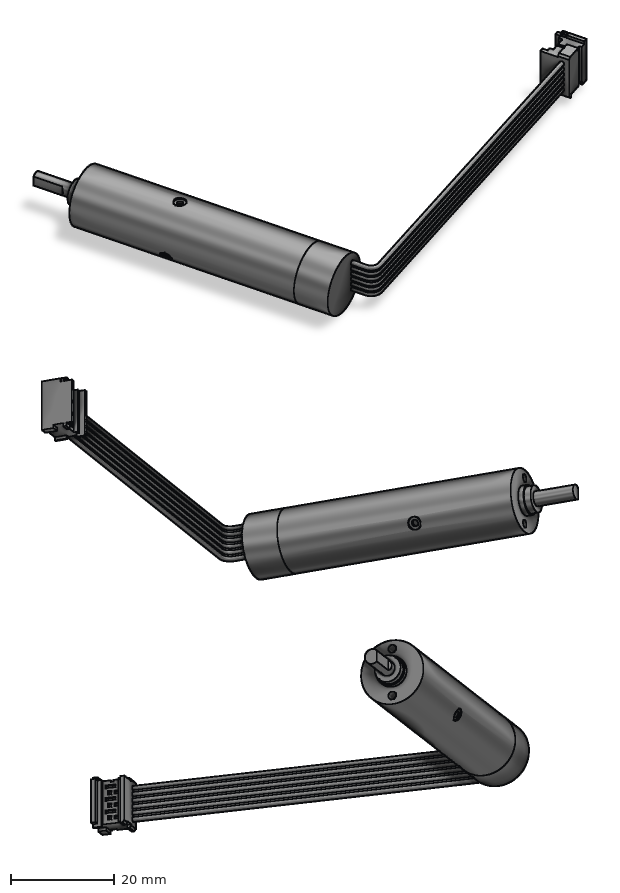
import cadquery as cq
import math


FRONT_RADIUS = 6.49
REAR_RADIUS = 6.505
REAR_START = 49.9
BODY_LENGTH = 57.4
COLLAR_RADIUS = 3.0
COLLAR_LENGTH = 1.1
BEARING_RADIUS = 2.7
BEARING_END = -2.5
SHAFT_RADIUS = 1.5
SHAFT_TIP = -11.0
FLAT_LENGTH = 6.35
FLAT_OFFSET = 1.0
FLAT_RUNOUT = 0.5

MOUNT_HOLE_DIAMETER = 1.6
MOUNT_HOLE_OFFSET = 4.75
MOUNT_HOLE_DEPTH = 3.0

SCREW_X = 21.0
SCREW_COUNT = 3
SEAT_DIAMETER = 2.6
SEAT_DEPTH = 0.4
SOCKET_DIAMETER = 1.3
SOCKET_DEPTH = 1.0

CORE_COUNT = 6
CORE_PITCH = 1.27
CORE_RADIUS = 0.5
WEB_THICKNESS = 0.5
CABLE_Y = 3.25
CABLE_X = 62.5
BEND_RADIUS = 2.0
BEND_START_X = CABLE_X - BEND_RADIUS
BEND_END_Y = CABLE_Y + BEND_RADIUS
EMBED = 0.5

OVERALL_LENGTH_X = 75.1
OVERALL_LENGTH_Y = 91.11
CONN_WIDTH = 6.4
CONN_LENGTH = 6.95
CONN_X = SHAFT_TIP + OVERALL_LENGTH_X - CONN_WIDTH
CONN_Y = OVERALL_LENGTH_Y - REAR_RADIUS - CONN_LENGTH
CORE_HALF_HEIGHT = 4.4
LUG_HALF_HEIGHT = 5.07
FLANGE = 0.9
STEP_LENGTH = 1.7
STEP_X = 1.15
FACE_X = 1.95
NOTCH_LOW = 3.85
NOTCH_HIGH = 5.0
NOTCH_DEPTH = 0.55
COVER_X = 3.9
COVER_LENGTH = 3.6
LEAD_IN = 0.45
GAP_START = 3.05
EAR_END_X = 1.8
GAP_DEPTH = 0.3
KEY_SLOTS_X = (1.5, 2.3)
KEY_SLOT_WIDTH = 0.3

WINDOW_DEPTH = 0.6
LONG_WINDOW = (2.6, 4.75)
SQUARE_WINDOW = (3.45, 4.15)
SHORT_WINDOW = (2.05, 2.8)
WINDOW_HEIGHT = 0.6
SQUARE_HEIGHT = 0.75


def core_heights():
    """Z positions of the cable cores, symmetric about the axis."""
    middle = (CORE_COUNT - 1) / 2
    return [(index - middle) * CORE_PITCH for index in range(CORE_COUNT)]


def box(x_range, y_range, z_range):
    """Box spanning three coordinate ranges."""
    size = [high - low for low, high in (x_range, y_range, z_range)]
    corner = (x_range[0], y_range[0], z_range[0])
    return cq.Workplane("XY").box(*size, centered=False).translate(corner)


def make_motor():
    """Stepped body and shaft turned about X, with the shaft flat cut."""
    turned = (
        cq.Workplane("XZ")
        .moveTo(SHAFT_TIP, 0)
        .lineTo(SHAFT_TIP, SHAFT_RADIUS)
        .lineTo(BEARING_END, SHAFT_RADIUS)
        .lineTo(BEARING_END, BEARING_RADIUS)
        .lineTo(-COLLAR_LENGTH, BEARING_RADIUS)
        .lineTo(-COLLAR_LENGTH, COLLAR_RADIUS)
        .lineTo(0, COLLAR_RADIUS)
        .lineTo(0, FRONT_RADIUS)
        .lineTo(REAR_START, FRONT_RADIUS)
        .lineTo(REAR_START, REAR_RADIUS)
        .lineTo(BODY_LENGTH, REAR_RADIUS)
        .lineTo(BODY_LENGTH, 0)
        .close()
        .revolve(360, (0, 0, 0), (1, 0, 0))
    )
    flat_end = SHAFT_TIP + FLAT_LENGTH
    flat = (
        cq.Workplane("XY")
        .moveTo(SHAFT_TIP, -FLAT_OFFSET)
        .lineTo(flat_end, -FLAT_OFFSET)
        .lineTo(flat_end + FLAT_RUNOUT, -SHAFT_RADIUS)
        .lineTo(SHAFT_TIP, -SHAFT_RADIUS)
        .close()
        .extrude(SHAFT_RADIUS, both=True)
    )
    return turned.cut(flat)


def make_mount_holes():
    """Two blind holes above and below the shaft in the front face."""
    return (
        cq.Workplane("YZ")
        .pushPoints([(0, MOUNT_HOLE_OFFSET), (0, -MOUNT_HOLE_OFFSET)])
        .circle(MOUNT_HOLE_DIAMETER / 2)
        .extrude(MOUNT_HOLE_DEPTH)
    )


def make_screw_seats():
    """Radial stepped holes, the first one at the top of the gearbox."""
    rim = cq.Workplane("XY", origin=(SCREW_X, 0, FRONT_RADIUS))
    seat = rim.circle(SEAT_DIAMETER / 2).extrude(-SEAT_DEPTH)
    socket = rim.circle(SOCKET_DIAMETER / 2).extrude(-SOCKET_DEPTH)
    tool = seat.union(socket)
    seats = cq.Workplane("XY")
    for index in range(SCREW_COUNT):
        angle = index * 360 / SCREW_COUNT
        seats = seats.add(tool.rotate((0, 0, 0), (1, 0, 0), angle))
    return seats.combine()


def cable_path():
    """Centre line of the cable: out of the rear, then round to +Y."""
    diagonal = BEND_RADIUS * math.sqrt(0.5)
    return (
        cq.Workplane("XY")
        .moveTo(BODY_LENGTH - EMBED, CABLE_Y)
        .lineTo(BEND_START_X, CABLE_Y)
        .threePointArc(
            (BEND_START_X + diagonal, BEND_END_Y - diagonal),
            (CABLE_X, BEND_END_Y),
        )
        .lineTo(CABLE_X, CONN_Y + EMBED)
    )


def make_web():
    """Thin sheet along the cable path that joins the cores."""
    half = WEB_THICKNESS / 2
    start_x = BODY_LENGTH - EMBED
    end_y = CONN_Y + EMBED
    outer_diagonal = (BEND_RADIUS + half) * math.sqrt(0.5)
    inner_diagonal = (BEND_RADIUS - half) * math.sqrt(0.5)
    return (
        cq.Workplane("XY")
        .moveTo(start_x, CABLE_Y - half)
        .lineTo(BEND_START_X, CABLE_Y - half)
        .threePointArc(
            (BEND_START_X + outer_diagonal, BEND_END_Y - outer_diagonal),
            (CABLE_X + half, BEND_END_Y),
        )
        .lineTo(CABLE_X + half, end_y)
        .lineTo(CABLE_X - half, end_y)
        .lineTo(CABLE_X - half, BEND_END_Y)
        .threePointArc(
            (BEND_START_X + inner_diagonal, BEND_END_Y - inner_diagonal),
            (BEND_START_X, CABLE_Y + half),
        )
        .lineTo(start_x, CABLE_Y + half)
        .close()
        .extrude((CORE_COUNT - 1) * CORE_PITCH / 2, both=True)
    )


def make_cable():
    """Round cores joined side by side by a thin web."""
    start = cq.Workplane("YZ", origin=(BODY_LENGTH - EMBED, CABLE_Y, 0))
    core = start.circle(CORE_RADIUS).sweep(cable_path())
    cable = make_web()
    for height in core_heights():
        cable = cable.union(core.translate((0, 0, height)))
    return cable


def make_connector_core():
    """Main block with end flanges, steps and the latch notch."""
    notch_x = CONN_WIDTH - NOTCH_DEPTH
    return (
        cq.Workplane("XY")
        .polyline([
            (0, 0),
            (CONN_WIDTH, 0),
            (CONN_WIDTH, NOTCH_LOW),
            (notch_x, NOTCH_LOW),
            (notch_x, NOTCH_HIGH),
            (CONN_WIDTH, NOTCH_HIGH),
            (CONN_WIDTH, CONN_LENGTH),
            (0, CONN_LENGTH),
            (0, CONN_LENGTH - FLANGE),
            (STEP_X, CONN_LENGTH - FLANGE),
            (STEP_X, CONN_LENGTH - STEP_LENGTH),
            (FACE_X, CONN_LENGTH - STEP_LENGTH),
            (FACE_X, STEP_LENGTH),
            (STEP_X, STEP_LENGTH),
            (STEP_X, FLANGE),
            (0, FLANGE),
        ])
        .close()
        .extrude(CORE_HALF_HEIGHT, both=True)
    )


def make_connector_lugs():
    """Raised flange and cover on top, two pairs of ears underneath."""
    top = (0, LUG_HALF_HEIGHT)
    bottom = (-LUG_HALF_HEIGHT, 0)
    end_flange = (CONN_LENGTH - FLANGE, CONN_LENGTH)
    full_width = (STEP_X, CONN_WIDTH)
    cover_width = (COVER_X, CONN_WIDTH)

    lugs = box(full_width, end_flange, top)
    for slot_x in KEY_SLOTS_X:
        slot = box(
            (slot_x - KEY_SLOT_WIDTH / 2, slot_x + KEY_SLOT_WIDTH / 2),
            end_flange,
            (CORE_HALF_HEIGHT, LUG_HALF_HEIGHT),
        )
        lugs = lugs.cut(slot)

    cover = box(cover_width, (0, COVER_LENGTH), top)
    cover = cover.faces(">Z").edges("<Y").chamfer(LEAD_IN)
    lugs = lugs.union(cover)

    far_ear = (CONN_LENGTH - STEP_LENGTH, CONN_LENGTH)
    for ear_width in ((0, EAR_END_X), cover_width):
        ear = box(ear_width, (0, FLANGE), bottom)
        ear = ear.faces("<Z").edges("<Y").chamfer(LEAD_IN)
        lugs = lugs.union(ear)
    for ear_width in ((STEP_X, EAR_END_X), cover_width):
        lugs = lugs.union(box(ear_width, far_ear, bottom))
    return lugs


def make_contact_windows():
    """Contact openings in the -X face: long ones alternate with pairs."""
    depth = (FACE_X, FACE_X + WINDOW_DEPTH)
    windows = cq.Workplane("XY")
    for index, height in enumerate(reversed(core_heights())):
        if index % 2 == 0:
            openings = [(LONG_WINDOW, WINDOW_HEIGHT)]
        else:
            openings = [(SQUARE_WINDOW, SQUARE_HEIGHT), (SHORT_WINDOW, WINDOW_HEIGHT)]
        for span, size in openings:
            z_range = (height - size / 2, height + size / 2)
            windows = windows.add(box(depth, span, z_range))
    return windows.combine()


def make_connector():
    """Complete connector, moved to the end of the cable."""
    gap = box(
        (FACE_X, COVER_X),
        (GAP_START, COVER_LENGTH),
        (CORE_HALF_HEIGHT - GAP_DEPTH, CORE_HALF_HEIGHT),
    )
    connector = make_connector_core().union(make_connector_lugs())
    connector = connector.cut(gap).cut(make_contact_windows())
    return connector.translate((CONN_X, CONN_Y, 0))


motor = make_motor().cut(make_mount_holes()).cut(make_screw_seats())
result = motor.union(make_cable()).union(make_connector())